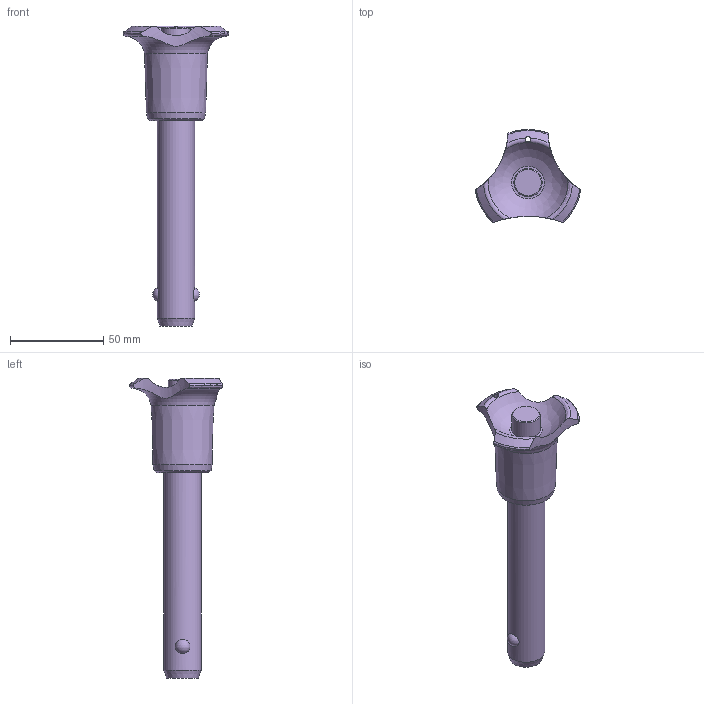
import cadquery as cq
import math


total_length = 161.2
handle_height = 50.8
shank_bottom_z = handle_height - total_length

shank_radius = 10.0
tip_radius = 8.6
tip_height = 4.2
ball_radius = 4.05
ball_reach = 12.5
ball_z = handle_height - 144.3

foot_radius = 14.0
foot_chamfer_top_radius = 15.3
foot_chamfer_height = 1.0
foot_taper_radius = 15.9
foot_taper_top_z = 4.1
neck_radius = 16.9
neck_z = handle_height - 14.7

flare_mid = (20.1, handle_height - 8.5)
flare_end = (27.3, handle_height - 5.5)
rim_radius = 28.58
rim_inset = 0.6
rim_z = handle_height - 3.9
rim_slope_degrees = 34.5
rim_slope = math.radians(rim_slope_degrees)
rim_under_mid = (28.3, handle_height - 4.9)
rim_top_mid = (28.42, handle_height - 3.4)

dish_floor_radius = 8.75
dish_radius = 25.2
dish_edge_radius = 21.5
crest_outer_radius = 23.9

button_radius = 7.6
button_chamfer = 0.5
button_top_z = handle_height - 0.7

notch_depth_radius = 18.2
front_notch_radius = 56.5
side_notch_radius = 37.0
front_notch_angle = 270
side_notch_angles = (30, 150)

lanyard_hole_radius = 1.5
lanyard_hole_y = 23.2


def make_handle():
    """Revolved handle: grip, flare, rim, crest and dish in one profile."""
    dish_tilt = math.asin(dish_edge_radius / dish_radius)
    crest_radius = (crest_outer_radius - dish_edge_radius) / (math.sin(dish_tilt) + math.sin(rim_slope))
    crest_r = crest_outer_radius - crest_radius * math.sin(rim_slope)
    crest_outer_z = handle_height - crest_radius * (1 - math.cos(rim_slope))
    dish_edge_z = handle_height - crest_radius * (1 - math.cos(dish_tilt))
    dish_centre_z = dish_edge_z + dish_radius * math.cos(dish_tilt)
    dish_floor_edge_z = dish_centre_z - math.sqrt(dish_radius**2 - dish_floor_radius**2)
    dish_mid_r = (dish_floor_radius + dish_edge_radius) / 2
    dish_mid_z = dish_centre_z - math.sqrt(dish_radius**2 - dish_mid_r**2)
    slope_end_r = rim_radius - rim_inset
    slope_end_z = crest_outer_z - (slope_end_r - crest_outer_radius) * math.tan(rim_slope)
    profile = (
        cq.Workplane("XZ")
        .lineTo(foot_radius, 0)
        .lineTo(foot_chamfer_top_radius, foot_chamfer_height)
        .lineTo(foot_taper_radius, foot_taper_top_z)
        .lineTo(neck_radius, neck_z)
        .threePointArc(flare_mid, flare_end)
        .threePointArc(rim_under_mid, (rim_radius, rim_z))
        .threePointArc(rim_top_mid, (slope_end_r, slope_end_z))
        .lineTo(crest_outer_radius, crest_outer_z)
        .threePointArc((crest_r, handle_height), (dish_edge_radius, dish_edge_z))
        .threePointArc((dish_mid_r, dish_mid_z), (dish_floor_radius, dish_floor_edge_z))
        .lineTo(0, dish_floor_edge_z)
        .close()
    )
    return profile.revolve(360, (0, 0), (0, 1))


def make_notch(angle, radius):
    """Vertical cylinder that scoops one finger notch at the given angle."""
    centre_distance = notch_depth_radius + radius
    x = centre_distance * math.cos(math.radians(angle))
    y = centre_distance * math.sin(math.radians(angle))
    return cq.Workplane("XY").center(x, y).circle(radius).extrude(handle_height)


def make_shank():
    """Cylindrical shank with a tapered tip."""
    profile = (
        cq.Workplane("XZ")
        .moveTo(0, shank_bottom_z)
        .lineTo(tip_radius, shank_bottom_z)
        .lineTo(shank_radius, shank_bottom_z + tip_height)
        .lineTo(shank_radius, 0)
        .lineTo(0, 0)
        .close()
    )
    return profile.revolve(360, (0, 0), (0, 1))


def make_ball(side):
    """Locking ball on the +X (side = 1) or -X (side = -1) flank of the shank."""
    return cq.Workplane("XY").sphere(ball_radius).translate((side * (ball_reach - ball_radius), 0, ball_z))


def make_button():
    """Chamfered push button standing on the axis, rooted inside the grip."""
    button = cq.Workplane("XY").circle(button_radius).extrude(button_top_z)
    return button.faces(">Z").chamfer(button_chamfer)


handle = make_handle().cut(make_notch(front_notch_angle, front_notch_radius))
for notch_angle in side_notch_angles:
    handle = handle.cut(make_notch(notch_angle, side_notch_radius))

lanyard_hole = cq.Workplane("XY").center(0, lanyard_hole_y).circle(lanyard_hole_radius).extrude(handle_height)
handle = handle.cut(lanyard_hole)

result = handle.union(make_button()).union(make_shank())
for ball_side in (1, -1):
    result = result.union(make_ball(ball_side))